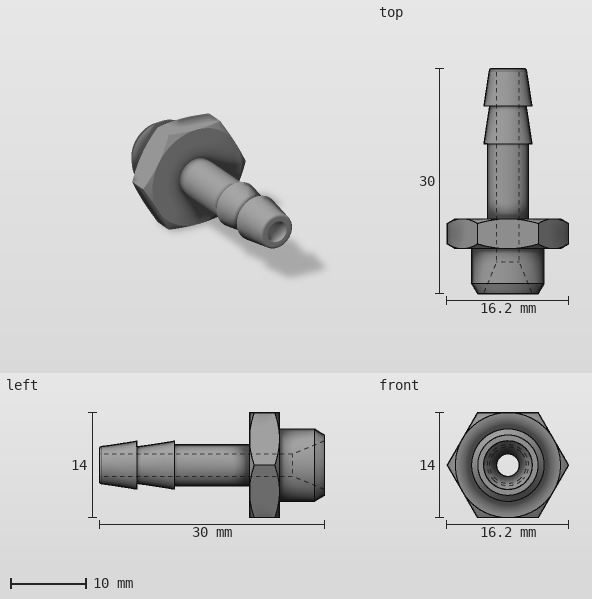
import cadquery as cq
import math

total_length = 30.0
hex_across_flats = 14.0
hex_start = 6.0
hex_end = 10.0
hex_chamfer_angle = 30.0

spigot_diameter = 9.65
spigot_tip_diameter = 8.05
spigot_chamfer_length = 1.35

stem_diameter = 5.5
barb_diameter = 6.42
barb_tip_diameter = 4.9
barb_length = 5.0
barb_count = 2
tip_rounding = 0.35

bore_diameter = 3.0
seat_diameter = 6.5
seat_cone_angle = 45.0

axis_start = -total_length / 2
hex_circumdiameter = hex_across_flats / math.cos(math.radians(30))
seat_depth = (seat_diameter - bore_diameter) / 2 / math.tan(math.radians(seat_cone_angle / 2))


def revolve_profile(points):
    """Revolve a closed (radius, distance from spigot end) outline about Y."""
    outline = cq.Workplane("XY", origin=(0, axis_start, 0)).polyline(points).close()
    return outline.revolve(360, (0, 0, 0), (0, 1, 0))


def make_spigot():
    radius = spigot_diameter / 2
    return revolve_profile([
        (0, 0),
        (spigot_tip_diameter / 2, 0),
        (radius, spigot_chamfer_length),
        (radius, hex_end),
        (0, hex_end),
    ])


def make_hex():
    """Hexagon with corners on X, its corners cut by a cone at both faces."""
    height = hex_end - hex_start
    prism = (
        cq.Workplane("XZ", origin=(0, axis_start + hex_start, 0))
        .polygon(6, hex_circumdiameter)
        .extrude(-height)
    )
    face_radius = hex_across_flats / 2
    corner_radius = hex_circumdiameter / 2
    chamfer_drop = (corner_radius - face_radius) * math.tan(math.radians(hex_chamfer_angle))
    envelope = revolve_profile([
        (0, hex_start),
        (face_radius, hex_start),
        (corner_radius, hex_start + chamfer_drop),
        (corner_radius, hex_end - chamfer_drop),
        (face_radius, hex_end),
        (0, hex_end),
    ])
    return prism.intersect(envelope)


def make_barbed_stem():
    """Straight stem followed by barbs that narrow toward a rounded tip."""
    barbs_start = total_length - barb_count * barb_length
    points = [(0, hex_start), (stem_diameter / 2, hex_start), (stem_diameter / 2, barbs_start)]
    for index in range(barb_count):
        start = barbs_start + index * barb_length
        points.append((barb_diameter / 2, start))
        points.append((barb_tip_diameter / 2, start + barb_length))
    points.append((0, total_length))
    return revolve_profile(points).faces(">Y").edges().fillet(tip_rounding)


def make_bore():
    """Through bore opening into a conical seat at the spigot end."""
    return revolve_profile([
        (0, 0),
        (seat_diameter / 2, 0),
        (bore_diameter / 2, seat_depth),
        (bore_diameter / 2, total_length),
        (0, total_length),
    ])


result = make_spigot().union(make_hex()).union(make_barbed_stem()).cut(make_bore())